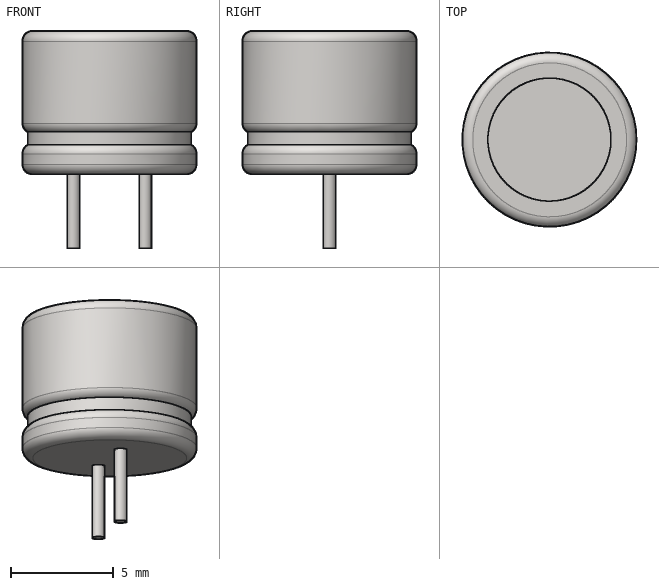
import cadquery as cq
import math

TOTAL_HEIGHT = 10.6
CAN_DIAMETER = 8.5
PIN_LENGTH = 3.6
EDGE_RADIUS = 0.5

NECK_DIAMETER = 7.99
RING_STRAIGHT_HEIGHT = 0.51
STRAIGHT_GAP = 1.49

DISC_DIAMETER = 6.0
DISC_THICKNESS = 0.11

PIN_DIAMETER = 0.61
PIN_SPACING = 3.5

can_radius = CAN_DIAMETER / 2
neck_radius = NECK_DIAMETER / 2
ring_straight_bottom = PIN_LENGTH + EDGE_RADIUS
ring_straight_top = ring_straight_bottom + RING_STRAIGHT_HEIGHT
shell_straight_bottom = ring_straight_top + STRAIGHT_GAP
shell_straight_top = TOTAL_HEIGHT - EDGE_RADIUS

arc_center_radius = can_radius - EDGE_RADIUS
lip_height = math.sqrt(EDGE_RADIUS**2 - (neck_radius - arc_center_radius) ** 2)
lip_angle = math.atan2(lip_height, neck_radius - arc_center_radius)
neck_bottom = ring_straight_top + lip_height
neck_top = shell_straight_bottom - lip_height


def edge_point(center_z, angle):
    """Point (radius, z) on a rounded edge, at an angle above the horizontal."""
    return (
        arc_center_radius + EDGE_RADIUS * math.cos(angle),
        center_z + EDGE_RADIUS * math.sin(angle),
    )


def cylinder(diameter, bottom, top):
    return cq.Workplane("XY").workplane(offset=bottom).circle(diameter / 2).extrude(top - bottom)


def make_shell():
    """Upper body with rounded edges and a recess for the top disc."""
    body = (
        cq.Workplane("XZ")
        .moveTo(0, neck_top)
        .lineTo(neck_radius, neck_top)
        .threePointArc(
            edge_point(shell_straight_bottom, -lip_angle / 2),
            (can_radius, shell_straight_bottom),
        )
        .lineTo(can_radius, shell_straight_top)
        .threePointArc(
            edge_point(shell_straight_top, math.pi / 4),
            (arc_center_radius, TOTAL_HEIGHT),
        )
        .lineTo(0, TOTAL_HEIGHT)
        .close()
        .revolve(360, (0, 0), (0, 1))
    )
    return body.cut(make_disc())


def make_disc():
    return cylinder(DISC_DIAMETER, TOTAL_HEIGHT - DISC_THICKNESS, TOTAL_HEIGHT)


def make_neck():
    return cylinder(NECK_DIAMETER, neck_bottom, neck_top)


def make_ring():
    """Lower body with rounded edges, closing the bottom of the can."""
    return (
        cq.Workplane("XZ")
        .moveTo(0, PIN_LENGTH)
        .lineTo(arc_center_radius, PIN_LENGTH)
        .threePointArc(
            edge_point(ring_straight_bottom, -math.pi / 4),
            (can_radius, ring_straight_bottom),
        )
        .lineTo(can_radius, ring_straight_top)
        .threePointArc(
            edge_point(ring_straight_top, lip_angle / 2),
            (neck_radius, neck_bottom),
        )
        .lineTo(0, neck_bottom)
        .close()
        .revolve(360, (0, 0), (0, 1))
    )


def make_pin(x):
    """Round lead that ends against the underside of the lower ring."""
    return cylinder(PIN_DIAMETER, 0, PIN_LENGTH).translate((x, 0, 0))


shell = make_shell()
disc = make_disc()
neck = make_neck()
ring = make_ring()
pins = [make_pin(side * PIN_SPACING / 2) for side in (-1, 1)]

result = cq.Compound.makeCompound(
    [shell.val(), disc.val(), neck.val(), ring.val(), *[pin.val() for pin in pins]]
)